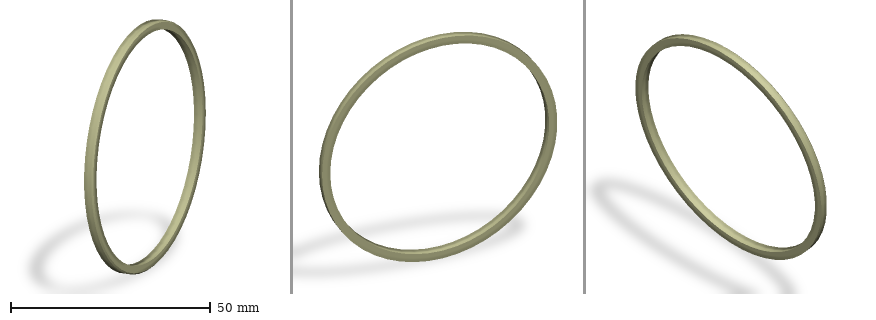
import cadquery as cq

outer_diameter = 64.5
inner_diameter = 60.0
width = 2.4
chamfer_size = 0.4

ring = (
    cq.Workplane("YZ")
    .circle(outer_diameter / 2)
    .circle(inner_diameter / 2)
    .extrude(width)
)

outer_edge = cq.selectors.RadiusNthSelector(-1)
result = ring.faces(">X").edges(outer_edge).chamfer(chamfer_size)